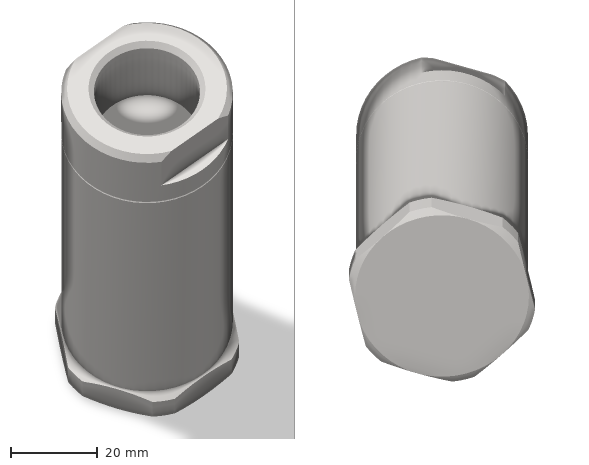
import cadquery as cq
import math

total_height = 101.5

hex_sides = 6
hex_across_flats = 40.0
hex_turned_diameter = 43.5
hex_height = 8.15
hex_chamfer_angle = 30.0

body_diameter = 39.5
cap_height = 17.5
joint_groove_size = 0.25
cap_chamfer_radial = 1.35
cap_chamfer_height = 1.6

flats_width = 34.0
flats_height = 11.0

port_diameter = 24.4
port_depth = 20.0
port_chamfer = 1.25

body_radius = body_diameter / 2
groove_radius = body_radius - joint_groove_size
joint_z = total_height - cap_height


def revolve_profile(points):
    """Revolve a closed (radius, height) outline about Z."""
    return cq.Workplane("XZ").polyline(points).close().revolve(360, (0, 0), (0, 1))


def make_foot():
    """Hexagon with flats facing +X and -X, corners turned round, ends chamfered."""
    turned_radius = hex_turned_diameter / 2
    face_radius = hex_across_flats / 2
    chamfer_slope = math.tan(math.radians(hex_chamfer_angle))
    bottom_chamfer_height = (turned_radius - face_radius) * chamfer_slope
    top_chamfer_height = (turned_radius - groove_radius) * chamfer_slope
    half_side_angle = 180 / hex_sides
    across_corners = hex_across_flats / math.cos(math.radians(half_side_angle))
    hexagon = (
        cq.Workplane("XY")
        .polygon(hex_sides, across_corners)
        .extrude(hex_height)
        .rotate((0, 0, 0), (0, 0, 1), half_side_angle)
    )
    turned_envelope = revolve_profile([
        (0, 0),
        (face_radius, 0),
        (turned_radius, bottom_chamfer_height),
        (turned_radius, hex_height - top_chamfer_height),
        (groove_radius, hex_height),
        (0, hex_height),
    ])
    return hexagon.intersect(turned_envelope)


def make_body():
    """Sleeve and cap as one turned piece with the joint grooves and the top chamfer."""
    return revolve_profile([
        (0, 0),
        (groove_radius, 0),
        (groove_radius, hex_height),
        (body_radius, hex_height + joint_groove_size),
        (body_radius, joint_z - joint_groove_size),
        (groove_radius, joint_z),
        (body_radius, joint_z + joint_groove_size),
        (body_radius, total_height - cap_chamfer_height),
        (body_radius - cap_chamfer_radial, total_height),
        (0, total_height),
    ])


def make_flat_cutters():
    """Material removed outside the two parallel wrench flats."""
    cutter_width = 2 * body_diameter
    floor = cq.Workplane("XY", origin=(0, 0, total_height - flats_height))
    surround = floor.rect(cutter_width, cutter_width).extrude(flats_height)
    kept = floor.rect(flats_width, cutter_width).extrude(flats_height)
    return surround.cut(kept)


def make_port():
    """Flat-bottomed bore with a chamfered mouth."""
    port_radius = port_diameter / 2
    return revolve_profile([
        (0, total_height - port_depth),
        (port_radius, total_height - port_depth),
        (port_radius, total_height - port_chamfer),
        (port_radius + port_chamfer, total_height),
        (0, total_height),
    ])


result = make_foot().union(make_body()).cut(make_flat_cutters()).cut(make_port())